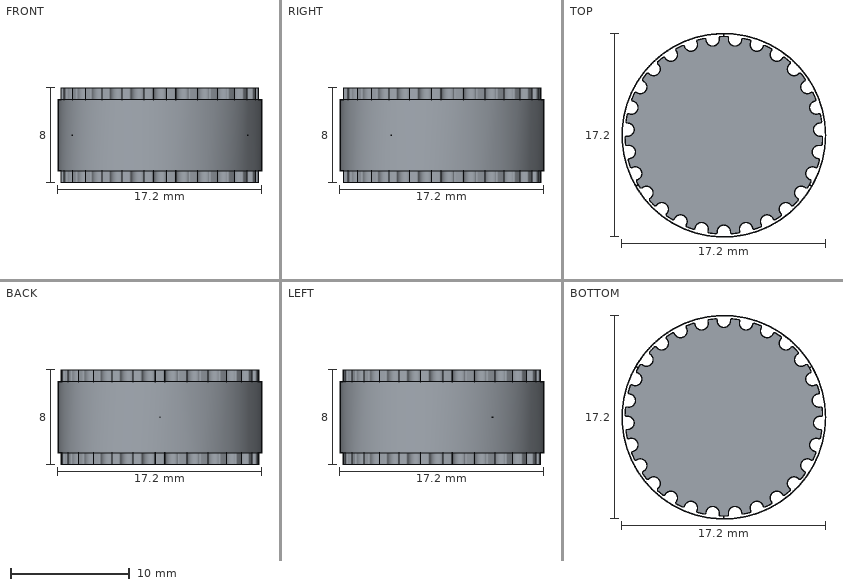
import cadquery as cq

tooth_count = 27
wheel_height = 8.0
tip_diameter = 16.67
groove_radius = 0.55
groove_depth = 0.75
tip_fillet = 0.14

sleeve_diameter = 17.19
sleeve_height = 6.0
sleeve_wall = 0.03

strut_count = 3
strut_thickness = 0.03

tip_radius = tip_diameter / 2
groove_center_radius = tip_radius - groove_depth + groove_radius
first_groove_angle = -90


def make_wheel():
    """Full-height wheel with round-bottomed grooves and rounded tooth tips."""
    blank = cq.Workplane("XY").circle(tip_radius).extrude(wheel_height)
    grooves = (
        cq.Workplane("XY")
        .polarArray(groove_center_radius, 0, 360, tooth_count)
        .circle(groove_radius)
        .extrude(wheel_height)
    )
    wheel = blank.cut(grooves).edges("|Z").fillet(tip_fillet)
    return wheel.rotate((0, 0, 0), (0, 0, 1), first_groove_angle)


def make_sleeve():
    """Thin-walled tube centred on the wheel height, clear of the tooth tips."""
    sleeve_radius = sleeve_diameter / 2
    sleeve_bottom = (wheel_height - sleeve_height) / 2
    return (
        cq.Workplane("XY", origin=(0, 0, sleeve_bottom))
        .circle(sleeve_radius)
        .circle(sleeve_radius - sleeve_wall)
        .extrude(sleeve_height)
    )


def make_struts():
    """Radial struts at mid height, each crossing the gap above a tooth tip."""
    inner_radius = tip_radius - tip_fillet
    outer_radius = sleeve_diameter / 2 - sleeve_wall / 2
    strut_length = outer_radius - inner_radius
    first_tooth_angle = first_groove_angle + 180
    return (
        cq.Workplane("XY", origin=(0, 0, wheel_height / 2))
        .polarArray((inner_radius + outer_radius) / 2, first_tooth_angle, 360, strut_count)
        .box(strut_length, strut_thickness, strut_thickness)
    )


result = make_wheel().union(make_struts()).union(make_sleeve())